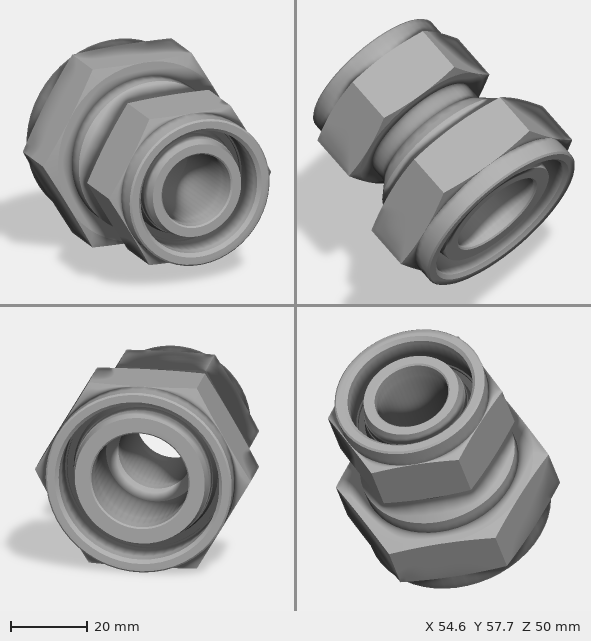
import cadquery as cq
import math


LARGE_CORNER_RADIUS = 28.85
LARGE_FLAT_RADIUS = LARGE_CORNER_RADIUS * math.cos(math.radians(30))
SMALL_FLAT_RADIUS = 20.5
END_X = 27.3

LARGE_NUT_LENGTH = 20.05
SMALL_NUT_LENGTH = 20.5
COLLAR_LENGTH = 5.5
COLLAR_INSET = 0.1
COLLAR_CHAMFER = 0.45
HEX_CHAMFER_ANGLE = 15.0
ENTRY_CHAMFER = 0.9
NUT_CLEARANCE = 0.45
NUT_STEP_DEPTH = 10.4
SHOULDER_DEPTH = NUT_STEP_DEPTH + 0.7

LARGE_BODY_RADIUS = 21.0
SMALL_BODY_RADIUS = 16.5
TAPER_START_X = -3.05
TAPER_LENGTH = 4.6
LARGE_BORE_RADIUS = 13.0
SMALL_BORE_RADIUS = 10.0
BORE_CHAMFER = 0.4
BORE_CONE_ANGLE = 60.0

SPIGOT_RECESS = 2.0
SPIGOT_INSET = 3.65
SPIGOT_TAPER_LENGTH = 3.35
SPIGOT_TAPER_RISE = 0.7
LIP_LENGTH = 0.45
LIP_RISE = 0.25
SEAT_LENGTH = 3.35
SEAT_STEP = 0.3
SEAT_RISE = 0.7


def revolve_about_x(points):
    """Turn a closed outline of (x, radius) points about the X axis."""
    return cq.Workplane("XY").polyline(points).close().revolve(360, (0, 0, 0), (1, 0, 0))


def hexagon_section(flat_radius, x_start, x_end):
    """Hexagon along X with corners on +-Y and both ends chamfered down to the flat radius."""
    corner_radius = flat_radius / math.cos(math.radians(30))
    chamfer = (corner_radius - flat_radius) * math.tan(math.radians(HEX_CHAMFER_ANGLE))
    prism = (
        cq.Workplane("YZ", origin=(x_start, 0, 0))
        .polygon(6, 2 * corner_radius)
        .extrude(x_end - x_start)
    )
    envelope = revolve_about_x([
        (x_start, 0),
        (x_start, flat_radius),
        (x_start + chamfer, corner_radius),
        (x_end - chamfer, corner_radius),
        (x_end, flat_radius),
        (x_end, 0),
    ])
    return prism.intersect(envelope)


def coupling_nut(flat_radius, length, body_radius):
    """Nut with its outer face at -END_X and its open inner end towards the origin."""
    face_x = -END_X
    hex_x = face_x + COLLAR_LENGTH
    inner_x = face_x + length
    collar_radius = flat_radius - COLLAR_INSET
    entry_radius = body_radius + NUT_CLEARANCE
    step_x = face_x + NUT_STEP_DEPTH

    collar = revolve_about_x([
        (face_x, 0),
        (face_x, collar_radius - COLLAR_CHAMFER),
        (face_x + COLLAR_CHAMFER, collar_radius),
        (hex_x, collar_radius),
        (hex_x, 0),
    ])
    bore = revolve_about_x([
        (face_x, 0),
        (face_x, entry_radius + ENTRY_CHAMFER),
        (face_x + ENTRY_CHAMFER, entry_radius),
        (step_x, entry_radius),
        (step_x, body_radius),
        (inner_x, body_radius),
        (inner_x, 0),
    ])
    return collar.union(hexagon_section(flat_radius, hex_x, inner_x)).cut(bore)


def body_end(body_radius):
    """Outline of one body end, from spigot face to shoulder rim, as (distance inward, radius)."""
    tip_radius = body_radius - SPIGOT_INSET
    taper_radius = tip_radius + SPIGOT_TAPER_RISE
    lip_radius = taper_radius + LIP_RISE
    seat_radius = lip_radius + SEAT_STEP
    taper_end = SPIGOT_RECESS + SPIGOT_TAPER_LENGTH
    seat_start = SHOULDER_DEPTH - SEAT_LENGTH
    return [
        (SPIGOT_RECESS, tip_radius),
        (taper_end, taper_radius),
        (taper_end + LIP_LENGTH, lip_radius),
        (seat_start, lip_radius),
        (seat_start, seat_radius),
        (SHOULDER_DEPTH, seat_radius + SEAT_RISE),
        (SHOULDER_DEPTH, body_radius),
    ]


def coupling_body():
    """Stepped body whose outside and bore both narrow from the large to the small end."""
    spigot_x = END_X - SPIGOT_RECESS
    large_end = [(-END_X + inward, radius) for inward, radius in body_end(LARGE_BODY_RADIUS)]
    small_end = [(END_X - inward, radius) for inward, radius in body_end(SMALL_BODY_RADIUS)]
    taper = [
        (TAPER_START_X, LARGE_BODY_RADIUS),
        (TAPER_START_X + TAPER_LENGTH, SMALL_BODY_RADIUS),
    ]
    bore_drop = LARGE_BORE_RADIUS - SMALL_BORE_RADIUS
    bore_cone_length = bore_drop / math.tan(math.radians(BORE_CONE_ANGLE))
    bore = [
        (spigot_x, SMALL_BORE_RADIUS + BORE_CHAMFER),
        (spigot_x - BORE_CHAMFER, SMALL_BORE_RADIUS),
        (TAPER_START_X + bore_cone_length, SMALL_BORE_RADIUS),
        (TAPER_START_X, LARGE_BORE_RADIUS),
        (-spigot_x + BORE_CHAMFER, LARGE_BORE_RADIUS),
        (-spigot_x, LARGE_BORE_RADIUS + BORE_CHAMFER),
    ]
    return revolve_about_x(large_end + taper + small_end[::-1] + bore)


body = coupling_body()
large_nut = coupling_nut(LARGE_FLAT_RADIUS, LARGE_NUT_LENGTH, LARGE_BODY_RADIUS)
small_nut = coupling_nut(SMALL_FLAT_RADIUS, SMALL_NUT_LENGTH, SMALL_BODY_RADIUS).rotate(
    (0, 0, 0), (0, 0, 1), 180
)

result = cq.Compound.makeCompound([body.val(), large_nut.val(), small_nut.val()])